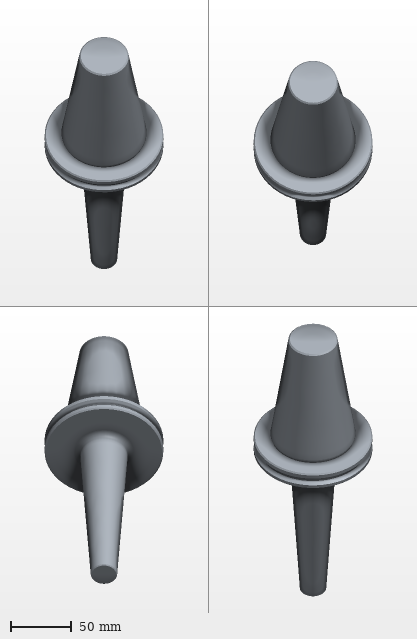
import cadquery as cq
import math

gauge_radius = 35.0
shank_length = 101.8
taper_ratio = 7 / 24
shank_end_radius = gauge_radius - shank_length * taper_ratio / 2
shank_chamfer = 1.0
gauge_land_height = 1.0

flange_radius = 48.8
flange_top = -3.3
flange_bottom = -19.0
flange_chamfer = 1.0
collar_radius = 34.0
groove_floor_radius = 45.5
groove_floor_width = 3.5
groove_center = -11.5
groove_flank_angle = 30
groove_flank_height = (flange_radius - groove_floor_radius) * math.tan(math.radians(groove_flank_angle))

nose_end = -169.0
nose_end_radius = 10.8
nose_root_radius = 19.5
nose_chamfer = 0.8
nose_root = -23.8
root_fillet_height = flange_bottom - nose_root
nose_slope = (nose_root_radius - nose_end_radius) / (nose_root - nose_end)
nose_chamfer_radius = nose_end_radius + nose_chamfer * nose_slope


def make_shank():
    """Solid cone with a chamfered small end, on a narrow cylindrical land."""
    chamfer_base_radius = shank_end_radius + shank_chamfer * taper_ratio / 2
    return (
        cq.Workplane("XZ")
        .moveTo(0, -gauge_land_height)
        .lineTo(gauge_radius, -gauge_land_height)
        .lineTo(gauge_radius, 0)
        .lineTo(chamfer_base_radius, shank_length - shank_chamfer)
        .lineTo(shank_end_radius - shank_chamfer, shank_length)
        .lineTo(0, shank_length)
        .close()
        .revolve(360, (0, 0), (0, 1))
    )


def make_flange():
    """Chamfered disc with the gripper groove cut around its rim."""
    disc = (
        cq.Workplane("XY", origin=(0, 0, flange_bottom))
        .circle(flange_radius)
        .extrude(flange_top - flange_bottom)
        .edges()
        .chamfer(flange_chamfer)
    )
    half_floor = groove_floor_width / 2
    half_mouth = half_floor + groove_flank_height
    groove = (
        cq.Workplane("XZ")
        .moveTo(groove_floor_radius, groove_center - half_floor)
        .lineTo(flange_radius, groove_center - half_mouth)
        .lineTo(flange_radius, groove_center + half_mouth)
        .lineTo(groove_floor_radius, groove_center + half_floor)
        .close()
        .revolve(360, (0, 0), (0, 1))
    )
    return disc.cut(groove)


def make_collar():
    """Short relieved cylinder joining the shank to the flange."""
    return cq.Workplane("XY").circle(collar_radius).extrude(flange_top)


def make_nose():
    """Tapered nose, blended into the flange by a concave quarter round."""
    arc_offset = root_fillet_height * (1 - math.sqrt(0.5))
    return (
        cq.Workplane("XZ")
        .moveTo(0, flange_bottom)
        .lineTo(nose_root_radius + root_fillet_height, flange_bottom)
        .threePointArc(
            (nose_root_radius + arc_offset, flange_bottom - arc_offset),
            (nose_root_radius, nose_root),
        )
        .lineTo(nose_chamfer_radius, nose_end + nose_chamfer)
        .lineTo(nose_end_radius - nose_chamfer, nose_end)
        .lineTo(0, nose_end)
        .close()
        .revolve(360, (0, 0), (0, 1))
    )


result = make_shank().union(make_collar()).union(make_flange()).union(make_nose())